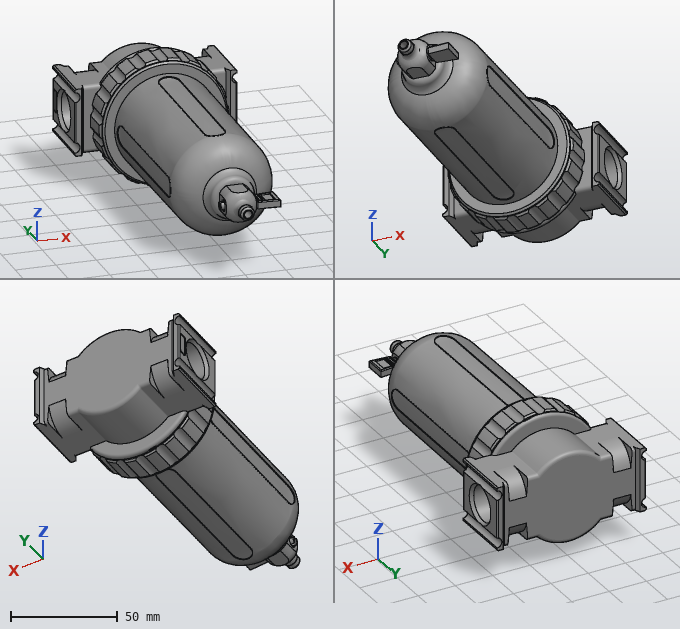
import cadquery as cq
import math


TOTAL_LENGTH = 168.5

WIDTH = 80.0
HALF_WIDTH = WIDTH / 2
HOUSING_HEIGHT = 33.7
HALF_HEIGHT = HOUSING_HEIGHT / 2
END_PLATE_LENGTH = 32.7
END_PLATE_THICKNESS = 3.4
END_PLATE_FLARE = 1.5
FLARE_DEPTH = 3.0
BLOCK_START = 1.5
HOUSING_END = 30.7
BLOCK_FILLET = 2.0
DRUM_RADIUS = 24.0
DRUM_ROOT_FILLET = 1.0
RIM_RADIUS = 31.4
RIM_START = 27.5
RIM_FILLET = 1.5
CLAMP_GROOVE_RADIUS = 2.5
CLAMP_GROOVE_HEIGHT = 12.6
END_EDGE_CHAMFER = 0.7
LAND_HALF_HEIGHT = CLAMP_GROOVE_HEIGHT - CLAMP_GROOVE_RADIUS

PORT_RADIUS = 9.3
PORT_MOUTH_RADIUS = 10.3
PORT_MOUTH_DEPTH = 1.9
PORT_DEPTH = 16.9
LABEL_DISTANCE = 3.2
LABEL_LENGTH = 4.0
LABEL_HEIGHT = 10.6
LABEL_CORNER = 0.5
LABEL_DEPTH = 0.3

POCKET_WIDTH = 10.8
POCKET_CENTRE = 28.0
POCKET_END = 14.8
POCKET_DRAFT = 5.0
POCKET_DEPTH = 9.8

COLLAR_END = 47.2
COLLAR_RADIUS = 32.0
COLLAR_TOP_CHAMFER = 0.8
PAD_END = 44.5
LIP_RADIUS = 31.0
LIP_START = 45.5
LIP_CHAMFER = 1.0
SCALLOP_COUNT = 18
SCALLOP_FLOOR_RADIUS = 30.7
SCALLOP_ANGLE = 9.3
COLLAR_TURN = 1.2

BOWL_RADIUS = 25.3
BOWL_END_RADIUS = 25.0
BOWL_WALL_END = 127.1
BOWL_DOME_RADIUS = 14.5
NECK_START_RADIUS = 13.1
NECK_RADIUS = 10.8
NECK_WAIST = 145.6
NECK_END = 148.3
SLOT_START = 50.9
SLOT_END = 128.1
SLOT_WIDTH = 10.1
SLOT_DEPTH = 0.5
SLOT_ANGLES = (0, 92.8, 180, 272.8)

DRAIN_RADIUS = 8.5
DRAIN_FLAT = 7.5
DRAIN_WALL_END = 155.7
DRAIN_DOME_RADIUS = 5.2
ROOT_RADIUS = 4.5
ROOT_END = 162.8
NOZZLE_STEP = 164.9
NOZZLE_ROOT_RADIUS = 3.5
NOZZLE_RADIUS = 3.4
NOZZLE_CHAMFER = 1.0
BORE_RADIUS = 1.9

SHAFT_DISTANCE = 154.0
SHAFT_RADIUS = 2.0
SHAFT_PROTRUSION = 1.7
SHAFT_RECESS_RADIUS = 2.7
SHAFT_RECESS_DEPTH = 0.8
SHAFT_SLOT_WIDTH = 1.5
SHAFT_SLOT_DEPTH = 3.4
HUB_RADIUS = 2.9
HUB_THICKNESS = 0.7
LEVER_REACH = 19.0
LEVER_THICKNESS = 3.7
LEVER_ROOT_WIDTH = 9.5
LEVER_TIP_WIDTH = 11.3
LEVER_CHAMFER = 0.5
GRIP_DEPTH = 0.7
GRIP_GROOVE_COUNT = 2
GRIP_GROOVE_WIDTH = 0.8
GRIP_GROOVE_LENGTH = 6.7
GRIP_PITCH = 1.9
GRIP_START = 8.6
PANEL_START = 12.0
PANEL_END = 16.9
PANEL_WIDTH = 8.3

LONG = 2 * TOTAL_LENGTH

AXIAL = cq.Plane(origin=(0, 0, 0), xDir=(1, 0, 0), normal=(0, 0, -1))
CROSS = cq.Plane(origin=(0, 0, 0), xDir=(1, 0, 0), normal=(0, -1, 0))


def side_plane(x, distance=0.0):
    """Plane facing -X at the given X, with local axes along increasing distance and Z."""
    return cq.Plane(origin=(x, -distance, 0), xDir=(0, -1, 0), normal=(-1, 0, 0))


def spin(profile):
    """Revolve a closed (radius, distance) profile about the common axis."""
    return profile.revolve(360, (0, 0), (0, 1))


def on_axis_cylinder(radius, start, end):
    return cq.Workplane(CROSS).workplane(offset=start).circle(radius).extrude(end - start)


def x_cylinder(radius, distance, x_from, x_to):
    """Cylinder along X between two X positions, x_from being the greater."""
    return cq.Workplane(side_plane(x_from, distance)).circle(radius).extrude(x_from - x_to)


def block(x_range, distance_range, z_range):
    """Rectangular block spanning the given X, distance and Z ranges."""
    size_x = x_range[1] - x_range[0]
    size_y = distance_range[1] - distance_range[0]
    size_z = z_range[1] - z_range[0]
    corner = (x_range[0], -distance_range[1], z_range[0])
    return cq.Workplane("XY").box(size_x, size_y, size_z, centered=False).translate(corner)


def mirrored_pair(shape, plane):
    return shape.union(shape.mirror(plane))


def flare_middle(start_radius, start, end_radius, end):
    """Middle point of a concave arc that runs into a straight neck without a corner."""
    drop = start_radius - end_radius
    run = end - start
    arc_radius = (drop**2 + run**2) / (2 * drop)
    half_sweep = math.asin(run / arc_radius) / 2
    return (end_radius + arc_radius * (1 - math.cos(half_sweep)), end - arc_radius * math.sin(half_sweep))



def housing_block():
    half_length = HALF_WIDTH - END_PLATE_THICKNESS - END_PLATE_FLARE
    body = block((-half_length, half_length), (BLOCK_START, HOUSING_END), (-HALF_HEIGHT, HALF_HEIGHT))
    return body.edges("|X").fillet(BLOCK_FILLET)


def end_plate():
    """Clamping plate at the -X end, with two clamp grooves and chamfered end edges."""
    outer = -HALF_WIDTH
    inner = outer + END_PLATE_THICKNESS
    foot = inner + END_PLATE_FLARE
    outline = [
        (outer, 0),
        (inner, 0),
        (foot, FLARE_DEPTH),
        (foot, END_PLATE_LENGTH - FLARE_DEPTH),
        (inner, END_PLATE_LENGTH),
        (outer, END_PLATE_LENGTH),
    ]
    plate = cq.Workplane(AXIAL).polyline(outline).close().extrude(HALF_HEIGHT, both=True)
    plate = plate.faces("<X").edges("|Y").chamfer(END_EDGE_CHAMFER)
    for z in (-CLAMP_GROOVE_HEIGHT, CLAMP_GROOVE_HEIGHT):
        groove = cq.Workplane(CROSS).center(outer, z).circle(CLAMP_GROOVE_RADIUS).extrude(END_PLATE_LENGTH)
        plate = plate.cut(groove)
    land_edges = cq.selectors.BoxSelector(
        (outer - END_EDGE_CHAMFER, -LONG, -LAND_HALF_HEIGHT / 2),
        (outer + END_EDGE_CHAMFER, LONG, LAND_HALF_HEIGHT / 2),
    )
    return plate.edges("|Z").edges(land_edges).chamfer(END_EDGE_CHAMFER)


def port():
    """Tapered mouth and blind bore entering from the -X end."""
    distance = END_PLATE_LENGTH / 2
    mouth = (
        cq.Workplane(side_plane(-HALF_WIDTH, distance))
        .circle(PORT_MOUTH_RADIUS)
        .workplane(offset=-PORT_MOUTH_DEPTH)
        .circle(PORT_RADIUS)
        .loft(combine=True)
    )
    bore = x_cylinder(PORT_RADIUS, distance, -HALF_WIDTH + PORT_DEPTH, -HALF_WIDTH)
    return mouth.union(bore)


def label_recess():
    return (
        cq.Workplane(side_plane(-HALF_WIDTH + LABEL_DEPTH, LABEL_DISTANCE))
        .rect(LABEL_LENGTH, LABEL_HEIGHT)
        .extrude(LABEL_DEPTH)
        .edges("|X")
        .fillet(LABEL_CORNER)
    )


def mounting_pocket():
    """Drafted pocket open at the back, its floor rounding down from the top face."""
    run = POCKET_END - BLOCK_START
    floor_radius = (run**2 + POCKET_DEPTH**2) / (2 * POCKET_DEPTH)
    floor = (
        cq.Workplane(side_plane(0))
        .center(POCKET_END, HALF_HEIGHT - floor_radius)
        .circle(floor_radius)
        .extrude(HALF_WIDTH)
    )
    return (
        cq.Workplane("XY")
        .workplane(offset=HALF_HEIGHT)
        .center(-POCKET_CENTRE, 0)
        .rect(POCKET_WIDTH, 2 * POCKET_END)
        .extrude(-POCKET_DEPTH, taper=POCKET_DRAFT)
        .cut(floor)
    )


def make_housing():
    drum = on_axis_cylinder(DRUM_RADIUS, BLOCK_START, HOUSING_END).faces(">Y").edges().fillet(BLOCK_FILLET)
    rim = on_axis_cylinder(RIM_RADIUS, RIM_START, HOUSING_END).edges().fillet(RIM_FILLET)
    root_x = math.sqrt(DRUM_RADIUS**2 - HALF_HEIGHT**2)
    root_edges = cq.selectors.BoxSelector(
        (-root_x - BLOCK_FILLET, -HOUSING_END, -HALF_HEIGHT - BLOCK_FILLET),
        (root_x + BLOCK_FILLET, -BLOCK_START, HALF_HEIGHT + BLOCK_FILLET),
    )
    body = housing_block().union(drum)
    body = body.edges("|Y").edges(root_edges).fillet(DRUM_ROOT_FILLET)
    body = body.union(rim)
    body = body.union(mirrored_pair(end_plate(), "YZ"))
    body = body.cut(mirrored_pair(port(), "YZ"))
    pockets = mirrored_pair(mirrored_pair(mounting_pocket(), "YZ"), "XY")
    return body.cut(pockets).cut(label_recess())



def make_collar():
    """Screw collar with scalloped grips above a plain lip."""
    profile = [
        (BOWL_RADIUS, HOUSING_END),
        (COLLAR_RADIUS - COLLAR_TOP_CHAMFER, HOUSING_END),
        (COLLAR_RADIUS, HOUSING_END + COLLAR_TOP_CHAMFER),
        (COLLAR_RADIUS, PAD_END),
        (LIP_RADIUS, LIP_START),
        (LIP_RADIUS, COLLAR_END - LIP_CHAMFER),
        (LIP_RADIUS - LIP_CHAMFER, COLLAR_END),
        (BOWL_RADIUS, COLLAR_END),
    ]
    collar = spin(cq.Workplane(AXIAL).polyline(profile).close())

    half_angle = math.radians(SCALLOP_ANGLE / 2)
    half_chord = COLLAR_RADIUS * math.sin(half_angle)
    scallop_depth = COLLAR_RADIUS * math.cos(half_angle) - SCALLOP_FLOOR_RADIUS
    scallop_radius = (half_chord**2 + scallop_depth**2) / (2 * scallop_depth)
    pitch = 360 / SCALLOP_COUNT
    scallops = (
        cq.Workplane(CROSS)
        .workplane(offset=HOUSING_END)
        .polarArray(SCALLOP_FLOOR_RADIUS + scallop_radius, COLLAR_TURN + pitch / 2, 360, SCALLOP_COUNT)
        .circle(scallop_radius)
        .extrude(LIP_START - HOUSING_END)
    )
    return collar.cut(scallops)



def bowl_slot_cutter():
    """Round-ended recesses of even depth in the tapered wall."""
    core_profile = [
        (0, COLLAR_END),
        (BOWL_RADIUS - SLOT_DEPTH, COLLAR_END),
        (BOWL_END_RADIUS - SLOT_DEPTH, SLOT_END),
        (0, SLOT_END),
    ]
    core = spin(cq.Workplane(AXIAL).polyline(core_profile).close())
    slot = (
        cq.Workplane(side_plane(0, (SLOT_START + SLOT_END) / 2))
        .slot2D(SLOT_END - SLOT_START, SLOT_WIDTH)
        .extrude(2 * BOWL_RADIUS)
        .cut(core)
    )
    cutter = cq.Workplane("XY")
    for angle in SLOT_ANGLES:
        cutter = cutter.add(slot.rotate((0, 0, 0), (0, -1, 0), angle).vals())
    return cutter.combine()


def make_bowl():
    dome_centre = BOWL_END_RADIUS - BOWL_DOME_RADIUS
    dome_end = BOWL_WALL_END + math.sqrt(BOWL_DOME_RADIUS**2 - (NECK_START_RADIUS - dome_centre) ** 2)
    dome_mid = BOWL_DOME_RADIUS * math.sqrt(0.5)
    rim_radius = NECK_END - NECK_WAIST
    rim_mid = rim_radius * math.sqrt(0.5)
    profile = (
        cq.Workplane(AXIAL)
        .moveTo(0, HOUSING_END)
        .lineTo(BOWL_RADIUS, HOUSING_END)
        .lineTo(BOWL_RADIUS, COLLAR_END)
        .lineTo(BOWL_END_RADIUS, BOWL_WALL_END)
        .threePointArc(
            (dome_centre + dome_mid, BOWL_WALL_END + dome_mid),
            (NECK_START_RADIUS, dome_end),
        )
        .threePointArc(
            flare_middle(NECK_START_RADIUS, dome_end, NECK_RADIUS, NECK_WAIST),
            (NECK_RADIUS, NECK_WAIST),
        )
        .threePointArc(
            (NECK_RADIUS - rim_radius + rim_mid, NECK_WAIST + rim_mid),
            (NECK_RADIUS - rim_radius, NECK_END),
        )
        .lineTo(0, NECK_END)
        .close()
    )
    return spin(profile).cut(bowl_slot_cutter())



def make_drain_valve():
    """Domed valve body with four flats, an outlet nozzle and a cross bore for the lever shaft."""
    dome_centre = DRAIN_RADIUS - DRAIN_DOME_RADIUS
    dome_mid = DRAIN_DOME_RADIUS * math.sqrt(0.5)
    dome_end = DRAIN_WALL_END + math.sqrt(DRAIN_DOME_RADIUS**2 - (ROOT_RADIUS - dome_centre) ** 2)
    profile = (
        cq.Workplane(AXIAL)
        .moveTo(0, NECK_END)
        .lineTo(DRAIN_RADIUS, NECK_END)
        .lineTo(DRAIN_RADIUS, DRAIN_WALL_END)
        .threePointArc((dome_centre + dome_mid, DRAIN_WALL_END + dome_mid), (ROOT_RADIUS, dome_end))
        .threePointArc(
            flare_middle(ROOT_RADIUS, dome_end, NOZZLE_ROOT_RADIUS, ROOT_END),
            (NOZZLE_ROOT_RADIUS, ROOT_END),
        )
        .lineTo(NOZZLE_ROOT_RADIUS, NOZZLE_STEP)
        .lineTo(NOZZLE_RADIUS, NOZZLE_STEP)
        .lineTo(NOZZLE_RADIUS, TOTAL_LENGTH - NOZZLE_CHAMFER)
        .lineTo(NOZZLE_RADIUS - NOZZLE_CHAMFER, TOTAL_LENGTH)
        .lineTo(0, TOTAL_LENGTH)
        .close()
    )
    flats = (-DRAIN_FLAT, DRAIN_FLAT)
    valve = spin(profile).intersect(block(flats, (NECK_END, TOTAL_LENGTH), flats))
    outlet = on_axis_cylinder(BORE_RADIUS, SHAFT_DISTANCE, TOTAL_LENGTH)
    shaft_bore = x_cylinder(SHAFT_RADIUS, SHAFT_DISTANCE, DRAIN_FLAT, -DRAIN_FLAT)
    recess = x_cylinder(SHAFT_RECESS_RADIUS, SHAFT_DISTANCE, -DRAIN_FLAT + SHAFT_RECESS_DEPTH, -DRAIN_FLAT)
    return valve.cut(outlet).cut(shaft_bore).cut(recess)



def lever_grip():
    """Tapered paddle with grip grooves and a framed panel in its top face."""
    root = DRAIN_FLAT + HUB_THICKNESS
    outline = [
        (root, SHAFT_DISTANCE - LEVER_ROOT_WIDTH / 2),
        (LEVER_REACH, SHAFT_DISTANCE - LEVER_TIP_WIDTH / 2),
        (LEVER_REACH, SHAFT_DISTANCE + LEVER_TIP_WIDTH / 2),
        (root, SHAFT_DISTANCE + LEVER_ROOT_WIDTH / 2),
    ]
    grip = cq.Workplane(AXIAL).polyline(outline).close().extrude(LEVER_THICKNESS / 2, both=True)
    grip = grip.faces(">Z").edges().chamfer(LEVER_CHAMFER)
    depth_range = (LEVER_THICKNESS / 2 - GRIP_DEPTH, LEVER_THICKNESS / 2)
    groove_range = (SHAFT_DISTANCE - GRIP_GROOVE_LENGTH / 2, SHAFT_DISTANCE + GRIP_GROOVE_LENGTH / 2)
    for index in range(GRIP_GROOVE_COUNT):
        start = GRIP_START + index * GRIP_PITCH
        grip = grip.cut(block((start, start + GRIP_GROOVE_WIDTH), groove_range, depth_range))
    panel_range = (SHAFT_DISTANCE - PANEL_WIDTH / 2, SHAFT_DISTANCE + PANEL_WIDTH / 2)
    return grip.cut(block((PANEL_START, PANEL_END), panel_range, depth_range))


def make_lever():
    """Lever with a hub against the valve and a split shaft through it."""
    shaft_end = -DRAIN_FLAT - SHAFT_PROTRUSION
    root = DRAIN_FLAT + HUB_THICKNESS
    hub = x_cylinder(HUB_RADIUS, SHAFT_DISTANCE, root, DRAIN_FLAT)
    shaft = x_cylinder(SHAFT_RADIUS, SHAFT_DISTANCE, root, shaft_end)
    split_range = (SHAFT_DISTANCE - SHAFT_SLOT_WIDTH / 2, SHAFT_DISTANCE + SHAFT_SLOT_WIDTH / 2)
    split = block((shaft_end, shaft_end + SHAFT_SLOT_DEPTH), split_range, (-SHAFT_RADIUS, SHAFT_RADIUS))
    return shaft.cut(split).union(hub).union(lever_grip())


housing = make_housing()
collar = make_collar()
bowl = make_bowl()
drain_valve = make_drain_valve()
lever = make_lever()

result = cq.Compound.makeCompound(
    [body.solids().val() for body in (housing, collar, bowl, drain_valve, lever)]
)